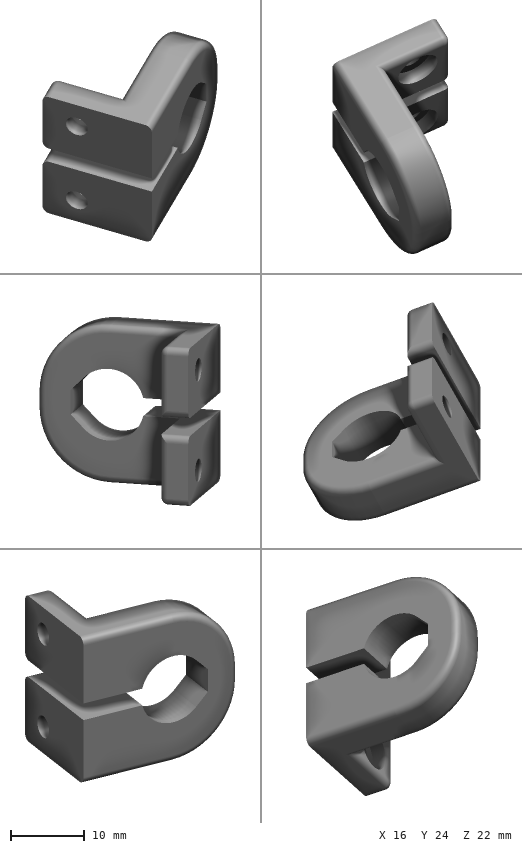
import cadquery as cq
import math

width = 16.0
length = 24.0
height = 22.0
foot_thickness = 4.0
plate_thickness = 6.0
edge_radius = 1.0

end_radius = 10.0

slot_width = 2.5

bore_radius = 5.0
bore_y = 14.0
bore_flat_offset = 5.36

screw_diameter = 3.2
head_diameter = 6.0
head_depth = 2.0
screw_x = 5.0
screw_spacing = 14.0

half_height = height / 2
plate_start_x = width - plate_thickness


def make_plate():
    """Upright plate with a rounded far end and rounded outer edges on both faces."""
    plate = cq.Workplane("XY").box(plate_thickness, length, height, centered=(False, False, True))
    plate = plate.edges(">Y and (>Z or <Z)").fillet(end_radius)
    plate = plate.faces("<X or >X").edges("not <Y").fillet(edge_radius)
    return plate.translate((plate_start_x, 0, 0))


def make_upper_foot():
    """Half of the foot above the slot, ending inside the plate."""
    foot_length = plate_start_x + plate_thickness / 2
    leg_height = half_height - slot_width / 2
    leg = cq.Workplane("XY").box(foot_length, foot_thickness, leg_height, centered=False)
    corners = leg.edges("<X and |Y")
    free_end_back = leg.edges("<X and >Y")
    outer_back = leg.edges(">Y and >Z")
    leg = corners.add(free_end_back).add(outer_back).fillet(edge_radius)
    return leg.translate((0, 0, slot_width / 2))


def make_bore():
    """Round bore whose 45 degree tangents run to a flat facing +Y."""
    tangent = bore_radius * math.sqrt(0.5)
    flat_half_height = bore_radius * math.sqrt(2) - bore_flat_offset
    return (
        cq.Workplane("YZ")
        .moveTo(bore_y + tangent, tangent)
        .lineTo(bore_y + bore_flat_offset, flat_half_height)
        .lineTo(bore_y + bore_flat_offset, -flat_half_height)
        .lineTo(bore_y + tangent, -tangent)
        .threePointArc((bore_y - bore_radius, 0), (bore_y + tangent, tangent))
        .close()
        .extrude(width)
    )


def make_slot():
    """Gap from the foot's front face to the bore centre."""
    return cq.Workplane("XY").box(width, bore_y, slot_width, centered=(False, False, True))


def make_screw_cylinders(diameter, start_y):
    """Pair of cylinders on the screw axes, from start_y to the back face of the foot."""
    return (
        cq.Workplane("XZ", origin=(0, start_y, 0))
        .pushPoints([(screw_x, side * screw_spacing / 2) for side in (-1, 1)])
        .circle(diameter / 2)
        .extrude(start_y - foot_thickness)
    )


def make_screw_holes():
    """Counterbored holes along Y: clearance all the way, head recess at the back."""
    clearance = make_screw_cylinders(screw_diameter, 0)
    head_recess = make_screw_cylinders(head_diameter, foot_thickness - head_depth)
    return clearance.union(head_recess)


upper_foot = make_upper_foot()
lower_foot = upper_foot.mirror("XY")
body = make_plate().union(upper_foot).union(lower_foot)
result = body.cut(make_bore()).cut(make_slot()).cut(make_screw_holes())